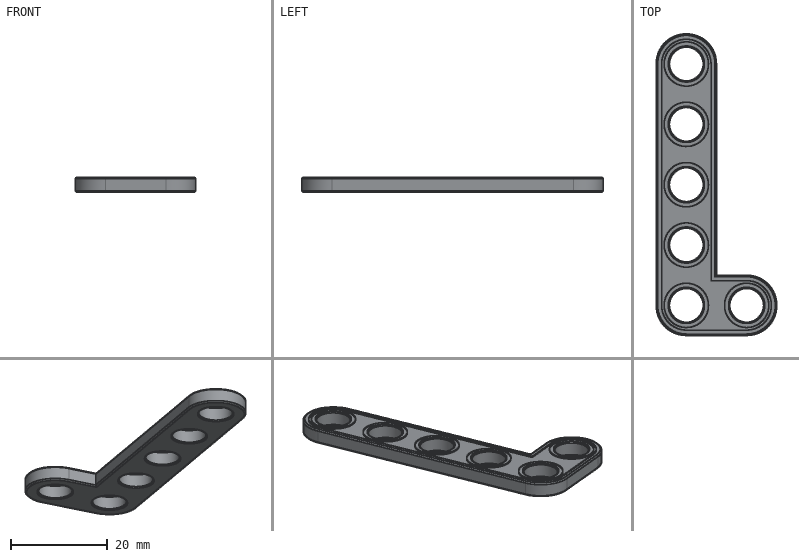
import cadquery as cq

pitch = 12.5
long_arm_holes = 5
short_arm_holes = 2
thickness = 3.1
edge_chamfer = 0.3
hole_diameter = 7.0
hole_chamfer = 0.25
collar_diameter = 9.2
rim_width = 1.1
recess_depth = 0.2

arm_radius = pitch / 2
long_reach = (long_arm_holes - 1) * pitch
short_reach = (short_arm_holes - 1) * pitch
hole_centers = [(0, i * pitch) for i in range(long_arm_holes)]
hole_centers += [(i * pitch, 0) for i in range(1, short_arm_holes)]


def arm(end_x, end_y, radius, height):
    """Round-ended bar from the corner hole to the last hole of an arm along X or Y."""
    angle = 90 if end_y else 0
    slot_length = end_x + end_y + 2 * radius
    return (
        cq.Workplane("XY")
        .center(end_x / 2, end_y / 2)
        .slot2D(slot_length, 2 * radius, angle)
        .extrude(height)
    )


def l_plate(radius, height):
    """Plain L-shaped plate whose outline keeps the given distance from the hole lines."""
    long_arm = arm(0, long_reach, radius, height)
    short_arm = arm(short_reach, 0, radius, height)
    return long_arm.union(short_arm).clean()


body = l_plate(arm_radius, thickness).faces("<Z or >Z").edges().chamfer(edge_chamfer)

mouth_radius = hole_diameter / 2 + hole_chamfer
hole = (
    cq.Workplane("XZ")
    .moveTo(0, 0)
    .lineTo(mouth_radius, 0)
    .lineTo(hole_diameter / 2, hole_chamfer)
    .lineTo(hole_diameter / 2, thickness - hole_chamfer)
    .lineTo(mouth_radius, thickness)
    .lineTo(0, thickness)
    .close()
    .revolve(360, (0, 0, 0), (0, 1, 0))
)
for x, y in hole_centers:
    body = body.cut(hole.translate((x, y, 0)))

recess = l_plate(arm_radius - rim_width, recess_depth)
collars = cq.Workplane("XY").pushPoints(hole_centers).circle(collar_diameter / 2).extrude(recess_depth)
recess = recess.cut(collars)
result = body.cut(recess.translate((0, 0, thickness - recess_depth)))